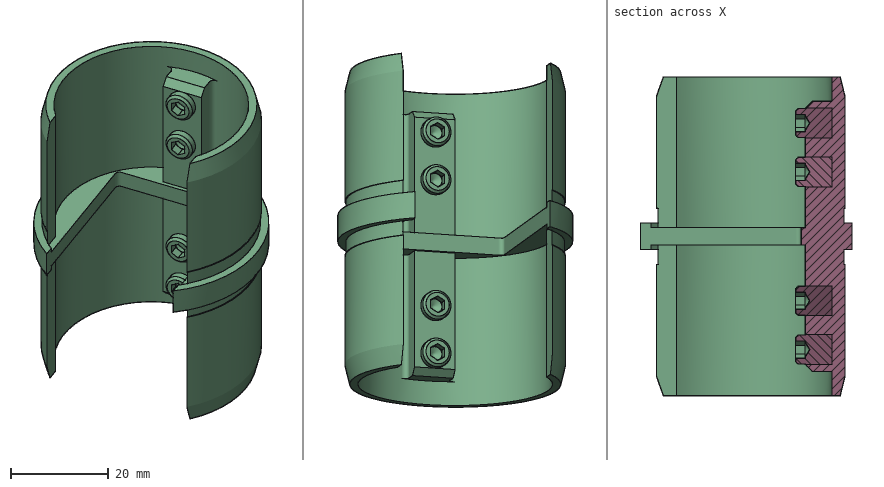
import cadquery as cq
import math

HEIGHT = 65.5
TUBE_RADIUS = 22.65
BORE_RADIUS = 20.0
END_TAPER_LENGTH = 4.0
END_TAPER_DEPTH = 1.0
GROOVE_RADIUS = 22.45
GROOVE_HEIGHT = 11.5

FLANGE_RADIUS = 48.3 / 2
FLANGE_HEIGHT = 5.5
WEB_HEIGHT = 3.6

TUBE_OPENING_WIDTH = 31.95
WEB_OPENING_WIDTH = 28.9
WEB_OPENING_BACK_Y = 13.6
WEB_CORNER_RADIUS = 1.0
CUT_CLEARANCE = 0.65

BLOCK_WIDTH = 8.7
BLOCK_HEIGHT = 55.55
BLOCK_FRONT_Y = 14.5
BLOCK_BEVEL = 1.5
BLOCK_ROOT_RADIUS = 1.0

SCREW_RADIUS = 3.0
SCREW_TIP_Y = 12.5
SCREW_END_Y = BORE_RADIUS
SCREW_CHAMFER = 0.5
SOCKET_ACROSS_FLATS = 3.0
SOCKET_DEPTH = 1.95
SOCKET_POINT_ANGLE = 118.0
INNER_SCREW_Z = 13.2
OUTER_SCREW_Z = 23.25
SCREW_HEIGHTS = (-OUTER_SCREW_Z, -INNER_SCREW_Z, INNER_SCREW_Z, OUTER_SCREW_Z)


def disc(radius, height):
    """A cylinder along Z, centred on the origin."""
    return cq.Workplane("XY").circle(radius).extrude(height / 2, both=True)


def front_opening(width, back_y):
    """A full-height cutter from beyond the -Y side of the sleeve up to back_y."""
    front_y = -FLANGE_RADIUS - CUT_CLEARANCE
    depth = back_y - front_y
    cutter = cq.Workplane("XY").box(width, depth, HEIGHT + 2 * CUT_CLEARANCE)
    return cutter.translate((0, (front_y + back_y) / 2, 0))


def make_tube():
    """The tapered, grooved tube with its wide front opening."""
    half_height = HEIGHT / 2
    taper_z = half_height - END_TAPER_LENGTH
    end_radius = TUBE_RADIUS - END_TAPER_DEPTH
    half_groove = GROOVE_HEIGHT / 2
    profile = [
        (BORE_RADIUS, -half_height),
        (end_radius, -half_height),
        (TUBE_RADIUS, -taper_z),
        (TUBE_RADIUS, -half_groove),
        (GROOVE_RADIUS, -half_groove),
        (GROOVE_RADIUS, half_groove),
        (TUBE_RADIUS, half_groove),
        (TUBE_RADIUS, taper_z),
        (end_radius, half_height),
        (BORE_RADIUS, half_height),
    ]
    tube = cq.Workplane("XZ").polyline(profile).close().revolve(360, (0, 0, 0), (0, 1, 0))
    return tube.cut(front_opening(TUBE_OPENING_WIDTH, 0))


def make_flange():
    """The outer flange ring and the inner web, with their U-shaped opening."""
    ring = disc(FLANGE_RADIUS, FLANGE_HEIGHT).cut(disc(GROOVE_RADIUS, FLANGE_HEIGHT))
    web = disc(GROOVE_RADIUS, WEB_HEIGHT)
    opening = front_opening(WEB_OPENING_WIDTH, WEB_OPENING_BACK_Y)
    opening = opening.edges("|Z and >Y").fillet(WEB_CORNER_RADIUS)
    return ring.union(web).cut(opening)


def make_block():
    """The bevelled block, with fillets that run tangentially into the bore."""
    half_width = BLOCK_WIDTH / 2
    half_height = BLOCK_HEIGHT / 2
    back_y = (BORE_RADIUS + GROOVE_RADIUS) / 2

    fillet_x = half_width + BLOCK_ROOT_RADIUS
    fillet_y = math.sqrt((BORE_RADIUS - BLOCK_ROOT_RADIUS) ** 2 - fillet_x**2)
    reach = BORE_RADIUS / (BORE_RADIUS - BLOCK_ROOT_RADIUS)
    root_x = fillet_x * reach
    root_y = fillet_y * reach

    mid_angle = (math.pi + math.atan2(fillet_y, fillet_x)) / 2
    mid_x = fillet_x + BLOCK_ROOT_RADIUS * math.cos(mid_angle)
    mid_y = fillet_y + BLOCK_ROOT_RADIUS * math.sin(mid_angle)

    outline = (
        cq.Workplane("XY")
        .moveTo(-half_width, BLOCK_FRONT_Y)
        .lineTo(half_width, BLOCK_FRONT_Y)
        .lineTo(half_width, fillet_y)
        .threePointArc((mid_x, mid_y), (root_x, root_y))
        .lineTo(root_x, back_y)
        .lineTo(-root_x, back_y)
        .lineTo(-root_x, root_y)
        .threePointArc((-mid_x, mid_y), (-half_width, fillet_y))
        .close()
    )
    block = outline.extrude(half_height, both=True)

    bevel_y = BLOCK_FRONT_Y + BLOCK_BEVEL
    bevel_z = half_height - BLOCK_BEVEL
    side_profile = [
        (BLOCK_FRONT_Y, -bevel_z),
        (bevel_y, -half_height),
        (back_y, -half_height),
        (back_y, half_height),
        (bevel_y, half_height),
        (BLOCK_FRONT_Y, bevel_z),
    ]
    side_prism = cq.Workplane("YZ").polyline(side_profile).close().extrude(BLOCK_WIDTH, both=True)
    return block.intersect(side_prism)


def make_screw_shank(z):
    """A plain cylinder along Y that fills the hole of the screw at height z."""
    start = cq.Workplane("XZ", origin=(0, SCREW_TIP_Y, z))
    return start.circle(SCREW_RADIUS).extrude(SCREW_TIP_Y - SCREW_END_Y)


def make_sleeve():
    """The sleeve: tube, flange, web and block in one piece, with the screw holes."""
    sleeve = make_tube().union(make_flange()).union(make_block())
    for z in SCREW_HEIGHTS:
        sleeve = sleeve.cut(make_screw_shank(z))
    return sleeve


def make_socket(z):
    """The hexagon socket with a corner at the top, ending in a conical drill point."""
    across_corners = SOCKET_ACROSS_FLATS / math.cos(math.pi / 6)
    start = cq.Workplane("XZ", origin=(0, SCREW_TIP_Y, z))
    hexagon = start.transformed(rotate=(0, 0, 90)).polygon(6, across_corners).extrude(-SOCKET_DEPTH)

    cone_radius = SOCKET_ACROSS_FLATS / 2
    cone_length = cone_radius / math.tan(math.radians(SOCKET_POINT_ANGLE / 2))
    cone_base = cq.Vector(0, SCREW_TIP_Y + SOCKET_DEPTH, z)
    cone = cq.Solid.makeCone(cone_radius, 0, cone_length, cone_base, cq.Vector(0, 1, 0))
    return hexagon.union(cq.Workplane(cone))


def make_screw(z):
    """A grub screw along Y at height z, chamfered around its socket end."""
    screw = make_screw_shank(z).faces("<Y").chamfer(SCREW_CHAMFER)
    return screw.cut(make_socket(z))


sleeve = make_sleeve()
screws = [make_screw(z) for z in SCREW_HEIGHTS]
result = cq.Compound.makeCompound([sleeve.val(), *[screw.val() for screw in screws]])